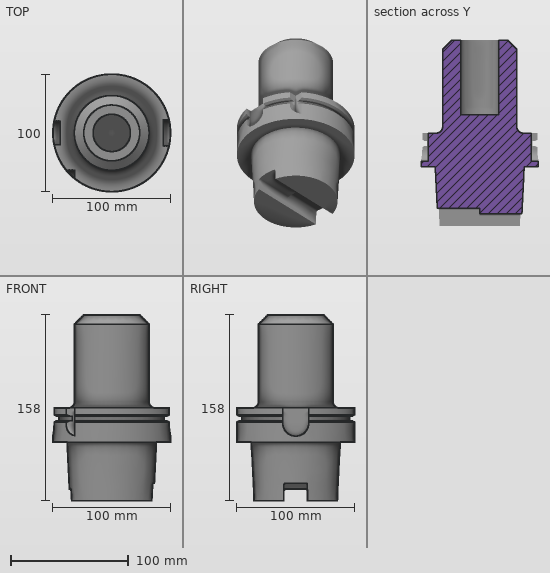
import cadquery as cq
import math

flange_radius = 50.0
flange_height = 29.0

groove_middle_z = 20.0
groove_floor_radius = 46.0
groove_floor_width = 4.0
groove_mouth_width = 6.4
groove_flank_angle = 30.0

nose_radius = 31.75
nose_top_z = 107.95
nose_chamfer = 8.0
nose_root_radius = 5.0
bore_radius = 15.875
bore_depth = 63.5

taper_length = 50.0
taper_top_radius = 38.0
taper_ratio = 1 / 20

keyway_end_z = 5.0
keyway_floor_x = 43.8
left_keyway_width = 20.0
right_keyway_width = 22.0

notch_width = 20.0
notch_floor_x = 31.6
notch_wall_y = -31.7

drive_slot_width = 20.0
left_drive_slot_depth = 10.0
right_drive_slot_depth = 15.0
drive_slot_corner_radius = 1.5


def body():
    """Revolve the nose, flange and taper about Z."""
    taper_end_radius = taper_top_radius - taper_length * taper_ratio
    half_arc = math.sqrt(0.5)
    root_outer_radius = nose_radius + nose_root_radius
    root_top_z = flange_height + nose_root_radius
    root_middle = (
        root_outer_radius - nose_root_radius * half_arc,
        root_top_z - nose_root_radius * half_arc,
    )
    profile = (
        cq.Workplane("XZ")
        .moveTo(0, -taper_length)
        .lineTo(taper_end_radius, -taper_length)
        .lineTo(taper_top_radius, 0)
        .lineTo(flange_radius, 0)
        .lineTo(flange_radius, flange_height)
        .lineTo(root_outer_radius, flange_height)
        .threePointArc(root_middle, (nose_radius, root_top_z))
        .lineTo(nose_radius, nose_top_z - nose_chamfer)
        .lineTo(nose_radius - nose_chamfer, nose_top_z)
        .lineTo(0, nose_top_z)
        .close()
    )
    return profile.revolve(360, (0, 0, 0), (0, 1, 0))


def bore():
    """Blind bore from the top of the nose."""
    return (
        cq.Workplane("XY")
        .workplane(offset=nose_top_z - bore_depth)
        .circle(bore_radius)
        .extrude(bore_depth)
    )


def gripper_groove():
    """Ring with a straight-sided floor and flared mouth."""
    floor_half = groove_floor_width / 2
    mouth_half = groove_mouth_width / 2
    flank_depth = (mouth_half - floor_half) / math.tan(math.radians(groove_flank_angle))
    flank_radius = flange_radius - flank_depth
    outer_radius = flange_radius + flank_depth
    profile = (
        cq.Workplane("XZ")
        .moveTo(groove_floor_radius, groove_middle_z - floor_half)
        .lineTo(flank_radius, groove_middle_z - floor_half)
        .lineTo(flange_radius, groove_middle_z - mouth_half)
        .lineTo(outer_radius, groove_middle_z - mouth_half)
        .lineTo(outer_radius, groove_middle_z + mouth_half)
        .lineTo(flange_radius, groove_middle_z + mouth_half)
        .lineTo(flank_radius, groove_middle_z + floor_half)
        .lineTo(groove_floor_radius, groove_middle_z + floor_half)
        .close()
    )
    return profile.revolve(360, (0, 0, 0), (0, 1, 0))


def round_ended_slot(width, middle_y, floor_x, side):
    """Slot cut inward along X to floor_x, on the +X (side = 1) or -X (side = -1) edge of the flange."""
    radius = width / 2
    arc_z = keyway_end_z + radius
    return (
        cq.Workplane("YZ")
        .workplane(offset=side * floor_x)
        .moveTo(middle_y - radius, flange_height)
        .lineTo(middle_y - radius, arc_z)
        .threePointArc((middle_y, keyway_end_z), (middle_y + radius, arc_z))
        .lineTo(middle_y + radius, flange_height)
        .close()
        .extrude(side * (flange_radius - floor_x))
    )


def drive_slot(depth, side):
    """Slot across the taper end, from the axis out to one side, with rounded upper corners."""
    return (
        cq.Workplane("XY")
        .box(taper_top_radius, drive_slot_width, depth, centered=(False, True, False))
        .edges("|X and >Z")
        .fillet(drive_slot_corner_radius)
        .translate(((side - 1) / 2 * taper_top_radius, 0, -taper_length))
    )


result = body().cut(bore()).cut(gripper_groove())

result = result.cut(round_ended_slot(left_keyway_width, 0, keyway_floor_x, -1))
result = result.cut(round_ended_slot(right_keyway_width, 0, keyway_floor_x, 1))

notch_middle_y = notch_wall_y - notch_width / 2
result = result.cut(round_ended_slot(notch_width, notch_middle_y, notch_floor_x, -1))

result = result.cut(drive_slot(left_drive_slot_depth, -1))
result = result.cut(drive_slot(right_drive_slot_depth, 1))